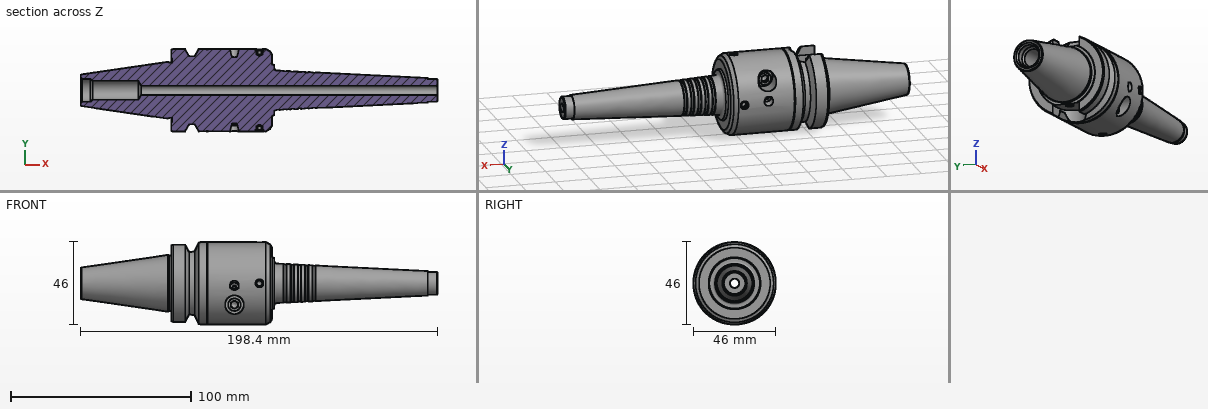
import cadquery as cq
import math

taper_length = 48.4
gauge_length = 150.0
flange_front = 2.0
flange_back = 9.7
groove_bottom_back = 15.0
body_end = 58.1

gauge_diameter = 31.75
taper_ratio = 7 / 24
shank_radius = gauge_diameter / 2
shank_tip_radius = shank_radius - taper_length * taper_ratio / 2
shank_tip_chamfer = 0.3
shank_tip_chamfer_length = 0.6
relief_radius = 15.5
relief_start = 0.9
recess_radius = 17.6
recess_floor = flange_front + 0.5

body_radius = 23.0
flange_chamfer = 1.0
flange_chamfer_depth = 0.5
gripper_groove_radius = 19.1
gripper_angle = math.radians(30)
seam_x = 22.0
seam_half_width = 0.3
seam_depth = 0.3
body_crown_length = 3.6
body_crown_depth = 3.2
body_crown_break_length = 2.4
body_crown_break_depth = 1.3

collar_radius = 14.5
collar_length = 1.2
collar_end_radius = 14.0
neck_fillet = 1.2
neck_root_radius = 11.1
neck_end_radius = 6.9
neck_end = 144.6
nose_radius = 6.4
nose_chamfer = 0.5

groove_count = 5
groove_pitch = 4.03
groove_first = 65.2
groove_width = 2.0
groove_wall_run = 0.4
groove_depth = 0.25

drawbar_mouth_diameter = 14.5
drawbar_pilot_diameter = 12.5
drawbar_pilot_depth = 5.5
drawbar_thread_lead = 1.2
drawbar_thread_diameter = 10.4
drawbar_thread_depth = 32.0
drill_point_half_angle = math.radians(59)
coolant_diameter = 5.0

key_width = 16.1
key_floor = 16.3
key_end = 18.6

screw_socket_depth = 2.0
screw_clearance = 1.0
key_screw_x = 7.0
key_screw_diameter = 4.5
key_screw_hex = 2.0
key_screw_recess = 0.6
balance_screw_x = 51.0
balance_screw_diameter = 4.5
balance_screw_hex = 3.0
balance_screw_recess = 1.0
balance_screw_count = 4

clamp_x = 37.1
clamp_offset = 11.9
clamp_counterbore_diameter = 10.4
clamp_counterbore_floor = 12.0
clamp_head_diameter = 7.0
clamp_head_height = 3.0
clamp_hex = 4.0
clamp_socket_depth = 2.5
socket_turn = 30.0
side_screw_diameter = 5.0
side_screw_hex = 2.0
side_screw_recess = 4.0
side_screw_offset = 1.1
side_screw_slope = 15.0


def cone_height(radius, half_angle):
    return radius / math.tan(half_angle)


def outer_body():
    flank = (body_radius - gripper_groove_radius) * math.tan(gripper_angle)
    shank_tip_edge = -taper_length + shank_tip_chamfer_length
    shank_tip_edge_radius = shank_radius + shank_tip_edge * taper_ratio / 2
    crown_start = body_end - body_crown_length
    collar_end = body_end + collar_length
    arc_offset = neck_fillet * (1 - math.sqrt(0.5))
    profile = (
        cq.Workplane("XY")
        .moveTo(-taper_length, 0)
        .lineTo(-taper_length, shank_tip_radius - shank_tip_chamfer)
        .lineTo(shank_tip_edge, shank_tip_edge_radius)
        .lineTo(0, shank_radius)
        .lineTo(relief_start, relief_radius)
        .lineTo(recess_floor, relief_radius)
        .lineTo(recess_floor, recess_radius)
        .lineTo(flange_front, recess_radius)
        .lineTo(flange_front, body_radius - flange_chamfer_depth)
        .lineTo(flange_front + flange_chamfer, body_radius)
        .lineTo(flange_back, body_radius)
        .lineTo(flange_back + flank, gripper_groove_radius)
        .lineTo(groove_bottom_back, gripper_groove_radius)
        .lineTo(groove_bottom_back + flank, body_radius)
        .lineTo(seam_x - seam_half_width, body_radius)
        .lineTo(seam_x, body_radius - seam_depth)
        .lineTo(seam_x + seam_half_width, body_radius)
        .lineTo(crown_start, body_radius)
        .lineTo(crown_start + body_crown_break_length, body_radius - body_crown_break_depth)
        .lineTo(body_end, body_radius - body_crown_depth)
        .lineTo(body_end, collar_radius)
        .lineTo(collar_end, collar_end_radius)
        .lineTo(collar_end, neck_root_radius + neck_fillet)
        .threePointArc(
            (collar_end + arc_offset, neck_root_radius + arc_offset),
            (collar_end + neck_fillet, neck_root_radius),
        )
        .lineTo(neck_end, neck_end_radius)
        .lineTo(neck_end, nose_radius)
        .lineTo(gauge_length - nose_chamfer, nose_radius)
        .lineTo(gauge_length, nose_radius - nose_chamfer)
        .lineTo(gauge_length, 0)
        .close()
    )
    return profile.revolve(360, (0, 0, 0), (1, 0, 0))


def neck_radius_at(x):
    root = body_end + collar_length + neck_fillet
    slope = (neck_end_radius - neck_root_radius) / (neck_end - root)
    return neck_root_radius + slope * (x - root)


def neck_groove(center):
    half = groove_width / 2
    outer = neck_root_radius + groove_depth
    floor_half = half - groove_wall_run
    return (
        cq.Workplane("XY")
        .polyline([
            (center - half, neck_radius_at(center - half)),
            (center - floor_half, neck_radius_at(center - floor_half) - groove_depth),
            (center + floor_half, neck_radius_at(center + floor_half) - groove_depth),
            (center + half, neck_radius_at(center + half)),
            (center + half, outer),
            (center - half, outer),
        ])
        .close()
        .revolve(360, (0, 0, 0), (1, 0, 0))
    )


def axial_bore():
    mouth = drawbar_mouth_diameter / 2
    pilot = drawbar_pilot_diameter / 2
    thread = drawbar_thread_diameter / 2
    coolant = coolant_diameter / 2
    start = -taper_length
    cone = cone_height(thread - coolant, drill_point_half_angle)
    return (
        cq.Workplane("XY")
        .polyline([
            (start, 0),
            (start, mouth),
            (start + mouth - pilot, pilot),
            (start + drawbar_pilot_depth, pilot),
            (start + drawbar_pilot_depth + drawbar_thread_lead, thread),
            (start + drawbar_thread_depth, thread),
            (start + drawbar_thread_depth + cone, coolant),
            (gauge_length, coolant),
            (gauge_length, 0),
        ])
        .close()
        .revolve(360, (0, 0, 0), (1, 0, 0))
    )


def key_slot():
    """Round-ended drive slot on the +Z side."""
    center = key_end - key_width / 2
    height = body_radius - key_floor
    straight = (
        cq.Workplane("XY", origin=(0, 0, key_floor))
        .moveTo(center / 2, 0)
        .rect(center, key_width)
        .extrude(height)
    )
    end = cq.Workplane("XY", origin=(center, 0, key_floor)).circle(key_width / 2).extrude(height)
    return straight.union(end)


def hex_socket(across_flats, depth, top):
    """Hexagonal socket below height top on the Z axis, with a drill-point floor."""
    corner = across_flats / math.cos(math.radians(30))
    point = cone_height(across_flats / 2, drill_point_half_angle)
    socket = cq.Workplane("XY", origin=(0, 0, top)).polygon(6, corner).extrude(-depth)
    tip = cq.Solid.makeCone(
        across_flats / 2, 0, point, pnt=cq.Vector(0, 0, top - depth), dir=cq.Vector(0, 0, -1)
    )
    return socket.union(cq.Workplane(tip))


def set_screw(diameter, hex_size, recess_depth, surface):
    """Recess on the Z axis, from height surface down to a set screw with a hexagonal socket."""
    floor = surface - recess_depth
    recess = (
        cq.Workplane("XY", origin=(0, 0, floor))
        .circle(diameter / 2)
        .extrude(recess_depth + screw_clearance)
    )
    return recess.union(hex_socket(hex_size, screw_socket_depth, floor))


def key_screw():
    screw = set_screw(key_screw_diameter, key_screw_hex, key_screw_recess, key_floor)
    return screw.translate((key_screw_x, 0, 0))


def balance_screw():
    screw = set_screw(balance_screw_diameter, balance_screw_hex, balance_screw_recess, body_radius)
    return screw.translate((balance_screw_x, 0, 0))


def clamp_pocket():
    """Counterbore on the -Y side that leaves the head of the clamp screw standing."""
    head_top = clamp_counterbore_floor + clamp_head_height
    counterbore = (
        cq.Workplane("XY", origin=(0, 0, clamp_counterbore_floor))
        .circle(clamp_counterbore_diameter / 2)
        .extrude(body_radius - clamp_counterbore_floor)
    )
    head = (
        cq.Workplane("XY", origin=(0, 0, clamp_counterbore_floor))
        .circle(clamp_head_diameter / 2)
        .extrude(clamp_head_height)
    )
    socket = hex_socket(clamp_hex, clamp_socket_depth, head_top)
    socket = socket.rotate((0, 0, 0), (0, 0, 1), socket_turn)
    pocket = counterbore.cut(head).union(socket)
    return turn_to_front(pocket).translate((clamp_x, 0, -clamp_offset))


def side_screw():
    """Deep set screw on the -Y side, sloping towards -Z as it goes in."""
    screw = set_screw(side_screw_diameter, side_screw_hex, side_screw_recess, 0)
    sloped = about_axis(turn_to_front(screw), -side_screw_slope)
    return sloped.translate((clamp_x, -body_radius, -side_screw_offset))


def about_axis(shape, angle):
    return shape.rotate((0, 0, 0), (1, 0, 0), angle)


def turn_to_front(shape):
    """Turns a feature made on the +Z side to the -Y side."""
    return about_axis(shape, 90)


result = outer_body().cut(axial_bore())

for index in range(groove_count):
    result = result.cut(neck_groove(groove_first + index * groove_pitch))

for angle in (0, 180):
    result = result.cut(about_axis(key_slot(), angle))
    result = result.cut(about_axis(key_screw(), angle))
    result = result.cut(about_axis(clamp_pocket(), angle))
    result = result.cut(about_axis(side_screw(), angle))

for index in range(balance_screw_count):
    angle = index * 360 / balance_screw_count
    result = result.cut(about_axis(balance_screw(), angle))